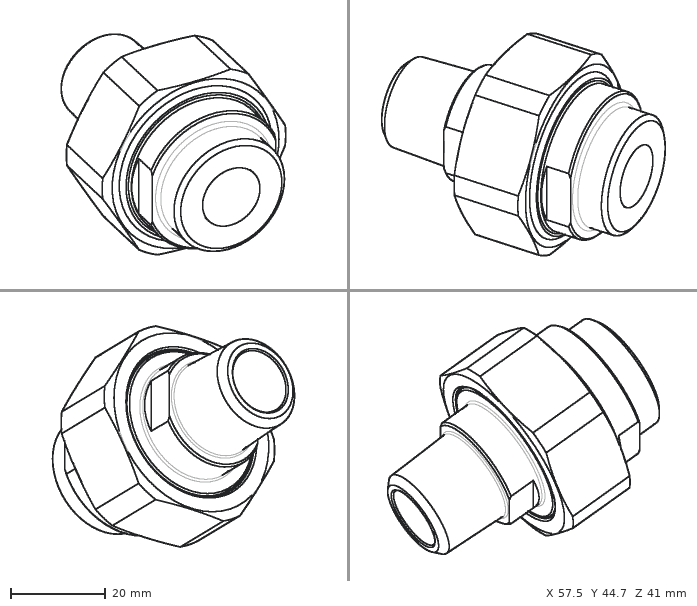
import cadquery as cq
import math


TOTAL_LENGTH = 57.5
BORE_DIAMETER = 14.0
BORE_CHAMFER = 0.35

TIP_DIAMETER = 17.15
THREAD_START_X = 1.6
THREAD_START_DIAMETER = 20.3
THREAD_END_X = 16.55
THREAD_END_DIAMETER = 21.4
THREAD_ROOT_FILLET = 0.4
COLLAR_START_X = THREAD_END_X + THREAD_ROOT_FILLET
COLLAR_DIAMETER = 26.0
COLLAR_CHAMFER = 0.45
FLANGE_FACE_X = 25.1
FLANGE_ROOT_FILLET = 0.45
FLANGE_DIAMETER = 33.0
FLANGE_CHAMFER = 0.4

SHOULDER_X = 28.75
SEAT_X = 32.2
LIP_DIAMETER = 33.5
SEAT_DIAMETER = 33.9

NUT_FRONT_X = 24.95
NUT_BACK_X = 42.0
NUT_ACROSS_FLATS = 41.0
NUT_CORNER_DIAMETER = 44.7
NUT_FACE_DIAMETER = 40.6
NUT_CHAMFER_LENGTH = 0.7
NUT_TAIL_END_X = 43.05
NUT_TAIL_START_DIAMETER = 37.15
NUT_TAIL_END_DIAMETER = 35.1
LIP_CHAMFER = 0.4

BODY_DIAMETER = 33.0
BODY_START_X = NUT_TAIL_END_X + (SEAT_DIAMETER - BODY_DIAMETER) / 2
BODY_END_X = 49.95
BODY_CHAMFER = 0.45
SPIGOT_DIAMETER = 26.9
SPIGOT_ROOT_FILLET = 0.8
SPIGOT_CHAMFER_LENGTH = 0.85
SPIGOT_END_DIAMETER = 24.6

COLLAR_FLATS_WIDTH = 23.1
COLLAR_FLATS_END_X = 23.5
BODY_FLATS_WIDTH = 30.0
BODY_FLATS_START_X = 44.15
FLAT_RUNOUT_SLOPE = 0.3


def revolve_about_x(outline):
    """Close an (x, radius) outline and spin it about the X axis."""
    return outline.close().revolve(360, (0, 0, 0), (1, 0, 0))


def fillet_to(outline, x, radius, center_x, center_radius):
    """Add a concave arc about the given center, ending at (x, radius)."""
    start = outline.vals()[-1].endPoint()
    size = math.hypot(x - center_x, radius - center_radius)
    chord_x = (start.x + x) / 2 - center_x
    chord_r = (start.y + radius) / 2 - center_radius
    scale = size / math.hypot(chord_x, chord_r)
    middle = (center_x + chord_x * scale, center_radius + chord_r * scale)
    return outline.threePointArc(middle, (x, radius))


def wrench_flats(width, floor_end_x, open_end_x, outer_diameter):
    """Two cutters beyond +-width/2, with a sloped run-out at floor_end_x."""
    floor_y = width / 2
    top_y = outer_diameter / 2
    direction = math.copysign(1, floor_end_x - open_end_x)
    runout_x = floor_end_x + direction * FLAT_RUNOUT_SLOPE * (top_y - floor_y)
    cutter = (
        cq.Workplane("XY")
        .polyline([(open_end_x, floor_y), (floor_end_x, floor_y), (runout_x, top_y), (open_end_x, top_y)])
        .close()
        .extrude(outer_diameter / 2, both=True)
    )
    return cutter.union(cutter.mirror("XZ"))


def make_threaded_tailpiece():
    bore_r = BORE_DIAMETER / 2
    collar_r = COLLAR_DIAMETER / 2
    thread_r = THREAD_END_DIAMETER / 2
    flange_r = FLANGE_DIAMETER / 2

    outline = (
        cq.Workplane("XY")
        .moveTo(BORE_CHAMFER, bore_r)
        .lineTo(0, bore_r + BORE_CHAMFER)
        .lineTo(0, TIP_DIAMETER / 2)
        .lineTo(THREAD_START_X, THREAD_START_DIAMETER / 2)
        .lineTo(THREAD_END_X, thread_r)
    )
    root_r = thread_r + THREAD_ROOT_FILLET
    outline = fillet_to(outline, COLLAR_START_X, root_r, THREAD_END_X, root_r)
    outline = (
        outline.lineTo(COLLAR_START_X, collar_r - COLLAR_CHAMFER)
        .lineTo(COLLAR_START_X + COLLAR_CHAMFER, collar_r)
        .lineTo(FLANGE_FACE_X - FLANGE_ROOT_FILLET, collar_r)
    )
    root_r = collar_r + FLANGE_ROOT_FILLET
    outline = fillet_to(outline, FLANGE_FACE_X, root_r, FLANGE_FACE_X - FLANGE_ROOT_FILLET, root_r)
    outline = (
        outline.lineTo(FLANGE_FACE_X, flange_r - FLANGE_CHAMFER)
        .lineTo(FLANGE_FACE_X + FLANGE_CHAMFER, flange_r)
        .lineTo(SHOULDER_X, flange_r)
        .lineTo(SHOULDER_X, SEAT_DIAMETER / 2)
        .lineTo(SEAT_X, SEAT_DIAMETER / 2)
        .lineTo(SEAT_X, bore_r)
    )
    flats = wrench_flats(COLLAR_FLATS_WIDTH, COLLAR_FLATS_END_X, COLLAR_START_X, COLLAR_DIAMETER)
    return revolve_about_x(outline).cut(flats)


def make_nut():
    lip_r = LIP_DIAMETER / 2
    seat_r = SEAT_DIAMETER / 2
    corner_r = NUT_CORNER_DIAMETER / 2
    face_r = NUT_FACE_DIAMETER / 2

    hexagon = (
        cq.Workplane("YZ")
        .workplane(offset=NUT_FRONT_X)
        .polygon(6, NUT_ACROSS_FLATS / math.cos(math.pi / 6))
        .extrude(NUT_TAIL_END_X - NUT_FRONT_X)
    )
    turned_form = revolve_about_x(
        cq.Workplane("XY")
        .moveTo(NUT_FRONT_X, lip_r + LIP_CHAMFER)
        .lineTo(NUT_FRONT_X, face_r)
        .lineTo(NUT_FRONT_X + NUT_CHAMFER_LENGTH, corner_r)
        .lineTo(NUT_BACK_X - NUT_CHAMFER_LENGTH, corner_r)
        .lineTo(NUT_BACK_X, face_r)
        .lineTo(NUT_BACK_X, NUT_TAIL_START_DIAMETER / 2)
        .lineTo(NUT_TAIL_END_X, NUT_TAIL_END_DIAMETER / 2)
        .lineTo(NUT_TAIL_END_X, seat_r)
        .lineTo(SHOULDER_X, seat_r)
        .lineTo(SHOULDER_X, lip_r)
        .lineTo(NUT_FRONT_X + LIP_CHAMFER, lip_r)
    )
    return hexagon.intersect(turned_form)


def make_plain_tailpiece():
    bore_r = BORE_DIAMETER / 2
    seat_r = SEAT_DIAMETER / 2
    body_r = BODY_DIAMETER / 2
    spigot_r = SPIGOT_DIAMETER / 2

    root_r = spigot_r + SPIGOT_ROOT_FILLET
    root_x = BODY_END_X + SPIGOT_ROOT_FILLET
    outline = (
        cq.Workplane("XY")
        .moveTo(SEAT_X, bore_r)
        .lineTo(SEAT_X, seat_r)
        .lineTo(NUT_TAIL_END_X, seat_r)
        .lineTo(BODY_START_X, body_r)
        .lineTo(BODY_END_X - BODY_CHAMFER, body_r)
        .lineTo(BODY_END_X, body_r - BODY_CHAMFER)
        .lineTo(BODY_END_X, root_r)
    )
    outline = fillet_to(outline, root_x, spigot_r, root_x, root_r)
    outline = (
        outline.lineTo(TOTAL_LENGTH - SPIGOT_CHAMFER_LENGTH, spigot_r)
        .lineTo(TOTAL_LENGTH, SPIGOT_END_DIAMETER / 2)
        .lineTo(TOTAL_LENGTH, bore_r)
    )
    flats = wrench_flats(BODY_FLATS_WIDTH, BODY_FLATS_START_X, BODY_END_X, SEAT_DIAMETER)
    return revolve_about_x(outline).cut(flats)


threaded_tailpiece = make_threaded_tailpiece()
nut = make_nut()
plain_tailpiece = make_plain_tailpiece()

result = cq.Compound.makeCompound([threaded_tailpiece.val(), nut.val(), plain_tailpiece.val()])